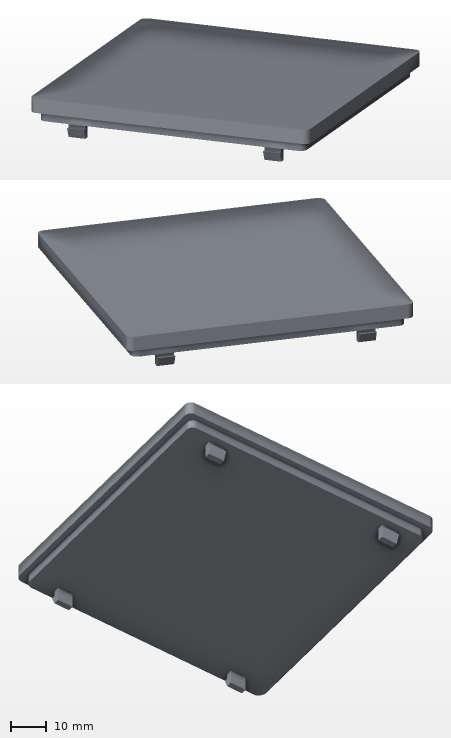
import cadquery as cq

plate_side = 84.0
plate_thickness = 4.2
corner_radius = 2.0

step_inset = 2.0
step_side = plate_side - 2 * step_inset
step_thickness = 2.8

clip_length = 4.5
clip_width = 5.0
clip_thickness = 1.8
clip_edge_x = 10.0
clip_edge_y = 4.5
barb_reach = 1.1
barb_drop = 1.8

clip_center_x = plate_side / 2 - clip_edge_x - clip_width / 2
clip_outer_y = plate_side / 2 - clip_edge_y
clip_inner_y = clip_outer_y - clip_thickness


def rounded_slab(side, thickness, top_z):
    """Square slab with rounded vertical corners, hanging down from top_z."""
    slab = cq.Workplane("XY").workplane(offset=top_z - thickness).rect(side, side).extrude(thickness)
    return slab.edges("|Z").fillet(corner_radius)


def snap_clip(center_x, side):
    """Clip with an outward barb on the +Y (side = 1) or -Y (side = -1) edge."""
    profile = [
        (side * clip_inner_y, 0),
        (side * clip_outer_y, 0),
        (side * clip_outer_y, -barb_drop),
        (side * (clip_outer_y + barb_reach), -barb_drop),
        (side * clip_outer_y, -clip_length),
        (side * clip_inner_y, -clip_length),
    ]
    clip = cq.Workplane("YZ").polyline(profile).close().extrude(clip_width / 2, both=True)
    return clip.translate((center_x, 0, 0))


step = rounded_slab(step_side, step_thickness, step_thickness)
plate = rounded_slab(plate_side, plate_thickness, step_thickness + plate_thickness)
result = plate.union(step)

for x in (-clip_center_x, clip_center_x):
    for side in (-1, 1):
        result = result.union(snap_clip(x, side))